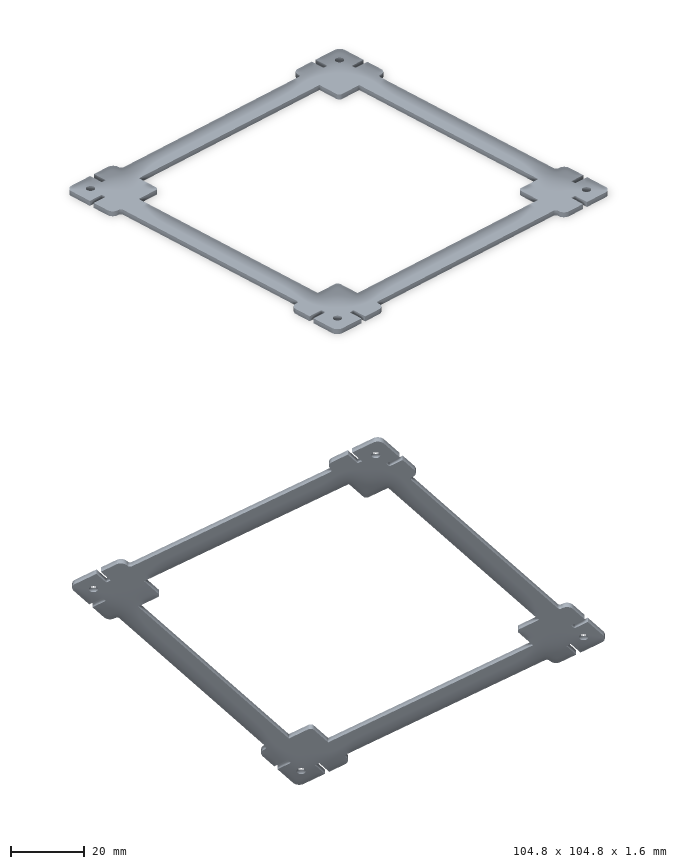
import cadquery as cq

side = 104.8
thickness = 1.6
rail_inset = 3.1
rail_width = 7.0

pad_outer = 18.0
pad_inner = 17.8
pad_radius = 2.0
corner_radius = 2.1
inner_radius = 1.0
neck_radius = 0.8

slot_width = 1.5
slot_depth = 4.5
slot_center = 10.0
hole_diameter = 2.5
hole_inset = 4.7

half = side / 2
rail_outer = half - rail_inset
rail_inner = rail_outer - rail_width
neck = half - pad_outer
pad_tip = half - pad_inner
corners = [(sx, sy) for sx in (-1, 1) for sy in (-1, 1)]


def block(x_size, y_size, x=0.0, y=0.0):
    """Plate-thick rectangle centred at (x, y)."""
    return cq.Workplane("XY").center(x, y).rect(x_size, y_size).extrude(thickness)


def vertical_edges_at(body, points, radius):
    """Round the vertical edges standing at the given points."""
    for x, y in points:
        edge = cq.selectors.NearestToPointSelector((x, y, thickness / 2))
        body = body.edges(edge).fillet(radius)
    return body


def mirrored(x, y):
    """The given point and its diagonal twin, repeated in all four corners."""
    return [(sx * u, sy * v) for sx, sy in corners for u, v in {(x, y), (y, x)}]


def outer_plate():
    """Solid plate with a projecting pad at each corner."""
    plate = block(2 * rail_outer, 2 * rail_outer)
    pad_center = half - pad_outer / 2
    for sx, sy in corners:
        plate = plate.union(block(pad_outer, pad_outer, sx * pad_center, sy * pad_center))
    plate = vertical_edges_at(plate, mirrored(neck, rail_outer), neck_radius)
    plate = vertical_edges_at(plate, mirrored(half, half), corner_radius)
    return vertical_edges_at(plate, mirrored(neck, half), pad_radius)


def window():
    """Square opening, stepped around the inner corner of each pad."""
    opening = block(2 * rail_inner, 2 * pad_tip).union(block(2 * pad_tip, 2 * rail_inner))
    return vertical_edges_at(opening, mirrored(pad_tip, pad_tip), inner_radius)


result = outer_plate().cut(window())

slot_mid = half - slot_depth / 2
slot_place = half - slot_center
for sx, sy in corners:
    result = result.cut(block(slot_width, slot_depth, sx * slot_place, sy * slot_mid))
    result = result.cut(block(slot_depth, slot_width, sx * slot_mid, sy * slot_place))

hole_place = half - hole_inset
holes = cq.Workplane("XY").pushPoints(mirrored(hole_place, hole_place))
result = result.cut(holes.circle(hole_diameter / 2).extrude(thickness))